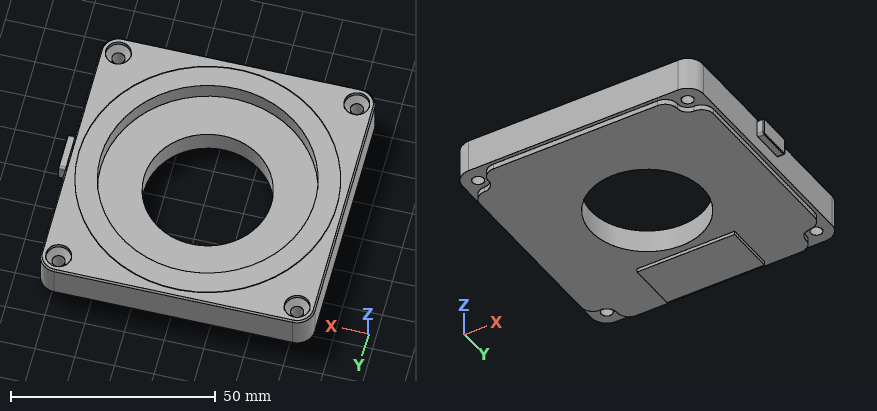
import cadquery as cq
import math

body_side = 69.0
body_height = 9.8
body_chamfer = 0.4
screw_inset = 4.5
screw_pitch = body_side - 2 * screw_inset

pad_height = 1.0
plate_height = 1.5
ring_height = 0.2
plate_bottom = pad_height
body_bottom = plate_bottom + plate_height
body_top = body_bottom + body_height
ring_top = body_top + ring_height

plate_inset = 1.0
plate_side = body_side - 2 * plate_inset
notch_radius = 3.0

pad_length = 28.0
pad_width = 14.0
pad_edge_gap = 2.5

ring_diameter = 65.0
recess_diameter = 53.95
recess_depth = 5.0
bore_diameter = 32.0

screw_hole_diameter = 3.2
screw_head_diameter = 6.3
screw_head_depth = 1.0
screw_cone_depth = (screw_head_diameter - screw_hole_diameter) / 2

connector_reach = 2.0
connector_width = 10.0
connector_height = 5.0
connector_drop = 0.85
connector_edge_radius = 0.65
connector_face_chamfer = 0.2


def make_body():
    """Square block with rounded corners and a chamfered top edge."""
    return (
        cq.Workplane("XY", origin=(0, 0, body_bottom))
        .rect(body_side, body_side)
        .extrude(body_height)
        .edges("|Z")
        .fillet(screw_inset)
        .faces(">Z")
        .chamfer(body_chamfer)
    )


def plate_corner_cutter():
    """Prism that cuts two convex arcs and a notch round the screw into the -X -Y plate corner."""
    lobe_radius = screw_inset - plate_inset
    screw = -screw_pitch / 2
    edge = -plate_side / 2
    lobe_center = screw + notch_radius + lobe_radius
    lobe_diagonal = lobe_radius * math.sqrt(0.5)
    notch_diagonal = notch_radius * math.sqrt(0.5)
    return (
        cq.Workplane("XY", origin=(0, 0, plate_bottom))
        .moveTo(edge, edge)
        .lineTo(lobe_center, edge)
        .threePointArc(
            (lobe_center - lobe_diagonal, screw - lobe_diagonal),
            (screw + notch_radius, screw),
        )
        .threePointArc(
            (screw + notch_diagonal, screw + notch_diagonal),
            (screw, screw + notch_radius),
        )
        .threePointArc(
            (screw - lobe_diagonal, lobe_center - lobe_diagonal),
            (edge, lobe_center),
        )
        .close()
        .extrude(plate_height)
    )


def make_base_plate():
    plate = (
        cq.Workplane("XY", origin=(0, 0, plate_bottom))
        .rect(plate_side, plate_side)
        .extrude(plate_height)
    )
    cutter = plate_corner_cutter()
    for quarter_turn in range(4):
        plate = plate.cut(cutter.rotate((0, 0, 0), (0, 0, 1), 90 * quarter_turn))
    return plate


def make_pad():
    pad_center_y = body_side / 2 - pad_edge_gap - pad_width / 2
    return (
        cq.Workplane("XY")
        .center(0, pad_center_y)
        .rect(pad_length, pad_width)
        .extrude(pad_height)
    )


def make_ring():
    """Low raised disc on top of the body."""
    return (
        cq.Workplane("XY", origin=(0, 0, body_top))
        .circle(ring_diameter / 2)
        .extrude(ring_height)
    )


def make_connector():
    """Block on the +X face with rounded long edges and a lightly chamfered end."""
    center_z = body_top - connector_drop - connector_height / 2
    return (
        cq.Workplane("YZ", origin=(body_side / 2, 0, center_z))
        .rect(connector_width, connector_height)
        .extrude(connector_reach)
        .edges("|X")
        .fillet(connector_edge_radius)
        .faces(">X")
        .chamfer(connector_face_chamfer)
    )


def make_optical_opening():
    """Round recess from the top and the through bore below it."""
    recess = (
        cq.Workplane("XY", origin=(0, 0, ring_top - recess_depth))
        .circle(recess_diameter / 2)
        .extrude(recess_depth)
    )
    bore = cq.Workplane("XY").circle(bore_diameter / 2).extrude(ring_top)
    return recess.union(bore)


def make_screw_holes():
    """Through holes with a conical seat below a straight head pocket."""
    hole_radius = screw_hole_diameter / 2
    head_radius = screw_head_diameter / 2
    seat_top = body_top - screw_head_depth
    half_section = [
        (0, 0),
        (hole_radius, 0),
        (hole_radius, seat_top - screw_cone_depth),
        (head_radius, seat_top),
        (head_radius, ring_top),
        (0, ring_top),
    ]
    hole = cq.Workplane("XZ").polyline(half_section).close().revolve(360, (0, 0), (0, 1)).val()
    return (
        cq.Workplane("XY")
        .rect(screw_pitch, screw_pitch, forConstruction=True)
        .vertices()
        .eachpoint(lambda place: hole.moved(place))
    )


result = (
    make_body()
    .union(make_base_plate())
    .union(make_pad())
    .union(make_ring())
    .union(make_connector())
    .cut(make_optical_opening())
    .cut(make_screw_holes())
)